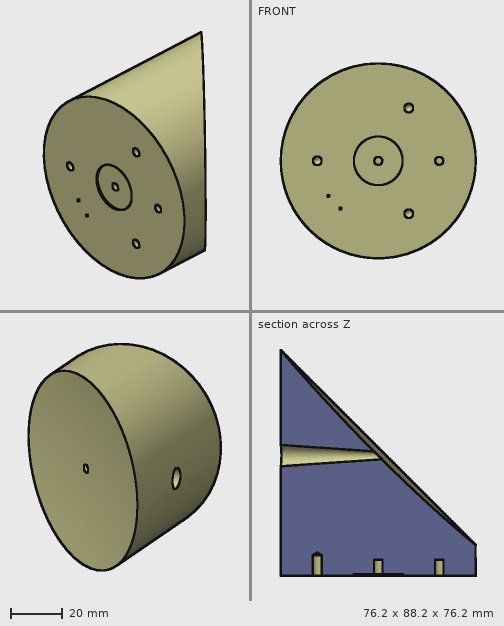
import cadquery as cq
import math

diameter = 76.2
length = 88.2
radius = diameter / 2
rim_center_y = length - radius

focal_length = 114.3
off_axis_distance = 2 * focal_length
mirror_center_sag = radius**2 / (4 * focal_length)
mirror_center_y = rim_center_y - mirror_center_sag
parent_vertex_y = mirror_center_y - focal_length

beam_hole_mirror_diameter = 3.0
beam_hole_side_diameter = 8.3

recess_diameter = 19.05
recess_depth = 0.6
bolt_circle_radius = 23.8
screw_hole_diameter = 3.4
screw_hole_depth = 7.9
screw_hole_angles = (60, 180, 300)
drill_point_angle = 118
pin_hole_diameter = 3.2
pin_hole_depth = 6.2
mark_diameter = 0.8
mark_depth = 0.4
mark_angles = (215, 231.5)


def cylinder_along_y(x, z, hole_diameter, depth):
    """Cylinder from the base face (Y = 0) towards +Y."""
    base = cq.Vector(x, 0, z)
    return cq.Workplane(cq.Solid.makeCylinder(hole_diameter / 2, depth, base, cq.Vector(0, 1, 0)))


def on_bolt_circle(angle):
    """X and Z of a place on the bolt circle, by angle from +X in degrees."""
    return (
        bolt_circle_radius * math.cos(math.radians(angle)),
        bolt_circle_radius * math.sin(math.radians(angle)),
    )


def parent_height(distance):
    """Y of the paraboloid at a distance from its own axis."""
    return parent_vertex_y + distance**2 / (4 * focal_length)


def parabolic_cutter():
    """Everything inside the paraboloid near the body, revolved about the parent axis."""
    margin = 4.4
    sweep_angle = 40
    near = off_axis_distance - radius - margin
    far = off_axis_distance + radius + margin
    near_y = parent_height(near)
    far_y = parent_height(far)
    near_slope = near / (2 * focal_length)
    control_distance = (near + far) / 2
    control_y = near_y + near_slope * (far - near) / 2
    return (
        cq.Workplane("XY")
        .moveTo(-near, near_y)
        .bezier([(-near, near_y), (-control_distance, control_y), (-far, far_y)])
        .lineTo(-near, far_y)
        .close()
        .revolve(sweep_angle, (0, 0), (0, 1))
        .rotate((0, 0, 0), (0, 1, 0), -sweep_angle / 2)
        .translate((off_axis_distance, 0, 0))
    )


def beam_hole():
    """Cone that narrows towards the body axis, then a straight stretch out through the mirror."""
    mirror_radius = beam_hole_mirror_diameter / 2
    outer_end = cq.Vector(-radius, mirror_center_y, 0)
    axis_end = cq.Vector(0, mirror_center_y, 0)
    direction = cq.Vector(1, 0, 0)
    cone = cq.Solid.makeCone(beam_hole_side_diameter / 2, mirror_radius, radius, outer_end, direction)
    breakthrough = cq.Solid.makeCylinder(mirror_radius, beam_hole_mirror_diameter, axis_end, direction)
    return cq.Workplane(cone).union(cq.Workplane(breakthrough))


def screw_hole(angle):
    """Blind hole with a conical drill point."""
    x, z = on_bolt_circle(angle)
    hole_radius = screw_hole_diameter / 2
    point_length = hole_radius / math.tan(math.radians(drill_point_angle / 2))
    point_base = cq.Vector(x, screw_hole_depth, z)
    point = cq.Solid.makeCone(hole_radius, 0, point_length, point_base, cq.Vector(0, 1, 0))
    return cylinder_along_y(x, z, screw_hole_diameter, screw_hole_depth).union(cq.Workplane(point))


result = cylinder_along_y(0, 0, diameter, length).cut(parabolic_cutter()).cut(beam_hole())

result = result.cut(cylinder_along_y(0, 0, recess_diameter, recess_depth))
for pin_x in (0, bolt_circle_radius):
    result = result.cut(cylinder_along_y(pin_x, 0, pin_hole_diameter, pin_hole_depth))

for screw_angle in screw_hole_angles:
    result = result.cut(screw_hole(screw_angle))

for mark_angle in mark_angles:
    result = result.cut(cylinder_along_y(*on_bolt_circle(mark_angle), mark_diameter, mark_depth))